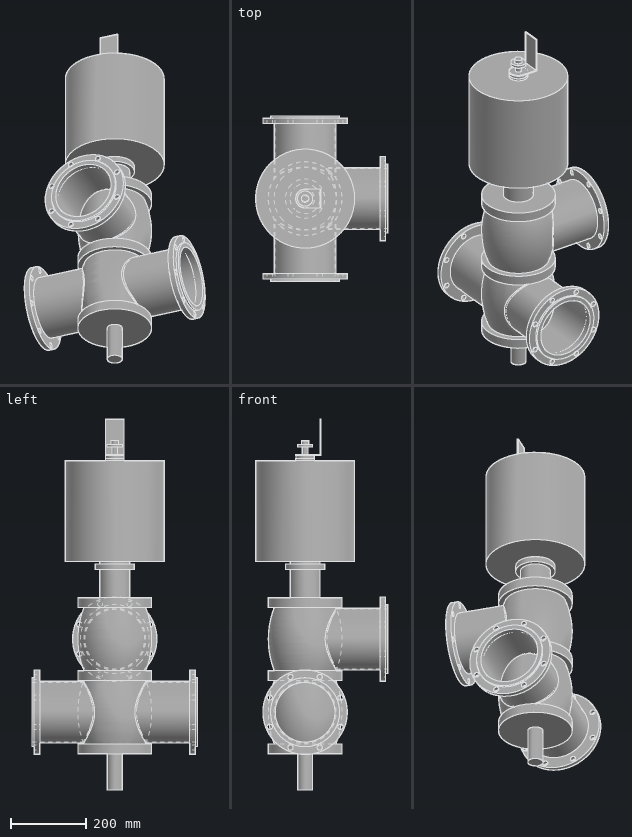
import cadquery as cq
import math

bottom_stem_length = 97.0
bottom_stem_diameter = 40.0
chamber_height = 168.0
chamber_end_diameter = 165.0
chamber_middle_diameter = 196.0
chamber_flange_diameter = 196.0
chamber_flange_thickness = 27.0

port_reach = 220.0
port_pipe_diameter = 165.0
port_bore_diameter = 159.0
port_flange_diameter = 225.0
port_flange_thickness = 15.0
raised_face_diameter = 183.0
raised_face_thickness = 6.0
bolt_count = 8
bolt_hole_diameter = 14.0
bolt_circle_diameter = 203.0

neck_diameter = 80.0
neck_length = 74.0
collar_diameter = 105.0
collar_thickness = 16.0
collar_gap = 6.0
drum_diameter = 263.0
drum_height = 268.0
seat_diameter = 50.0
seat_height = 6.0

total_height = 986.5
foot_diameter = 49.0
foot_thickness = 8.0
plate_width = 50.0
plate_thickness = 3.0
plate_reach = 42.0
spindle_diameter = 16.0
spindle_length = 19.0
tip_diameter = 20.0
tip_length = 10.0
nut_diameter = 40.0
nut_thickness = 8.0

chamber_pitch = chamber_height + chamber_flange_thickness
lower_chamber_base = bottom_stem_length + chamber_flange_thickness
upper_chamber_base = lower_chamber_base + chamber_pitch
neck_base = upper_chamber_base + chamber_pitch
collar_base = neck_base + neck_length
drum_base = collar_base + collar_thickness + collar_gap
seat_base = drum_base + drum_height
indicator_base = seat_base + seat_height
plate_base = indicator_base + foot_thickness
plate_top = plate_base + plate_thickness
nut_base = plate_top + spindle_length
tip_base = nut_base + nut_thickness


def disc(diameter, base, height):
    """Solid cylinder on the Z axis."""
    return cq.Workplane("XY").workplane(offset=base).circle(diameter / 2).extrude(height)


def chamber(base):
    """Barrel of revolution with an arc as its side."""
    end_radius = chamber_end_diameter / 2
    top = base + chamber_height
    middle_point = (chamber_middle_diameter / 2, base + chamber_height / 2)
    return (
        cq.Workplane("XZ")
        .moveTo(0, base)
        .lineTo(end_radius, base)
        .threePointArc(middle_point, (end_radius, top))
        .lineTo(0, top)
        .close()
        .revolve(360, (0, 0, 0), (0, 1, 0))
    )


def port(angle, base):
    """Flanged pipe that leaves the middle of a chamber; angle is counted from +X."""
    direction = cq.Vector(math.cos(angle), math.sin(angle), 0)
    centre = cq.Vector(0, 0, base + chamber_height / 2)
    flange_end = port_reach - raised_face_thickness
    flange_start = flange_end - port_flange_thickness

    def section(start):
        plane = cq.Plane(origin=centre + direction * start, xDir=(0, 0, 1), normal=direction)
        return cq.Workplane(plane)

    pipe = section(0).circle(port_pipe_diameter / 2).extrude(port_reach)
    flange = section(flange_start).circle(port_flange_diameter / 2).extrude(port_flange_thickness)
    raised_face = section(flange_end).circle(raised_face_diameter / 2).extrude(raised_face_thickness)
    bore = section(0).circle(port_bore_diameter / 2).extrude(port_reach)
    bolt_holes = (
        section(flange_start)
        .polarArray(bolt_circle_diameter / 2, 180 / bolt_count, 360, bolt_count)
        .circle(bolt_hole_diameter / 2)
        .extrude(port_flange_thickness)
    )
    return pipe.union(flange).union(raised_face).cut(bore).cut(bolt_holes)


def make_valve():
    """Housing, ports, neck and actuator drum as one solid."""
    valve = disc(bottom_stem_diameter, 0, bottom_stem_length)
    for angle, base in (
        (math.radians(0), upper_chamber_base),
        (math.radians(90), lower_chamber_base),
        (math.radians(-90), lower_chamber_base),
    ):
        valve = valve.union(port(angle, base))
    for base in (lower_chamber_base, upper_chamber_base):
        valve = valve.union(chamber(base))
    for level in range(3):
        flange_base = bottom_stem_length + level * chamber_pitch
        valve = valve.union(disc(chamber_flange_diameter, flange_base, chamber_flange_thickness))
    valve = valve.union(disc(neck_diameter, neck_base, drum_base - neck_base))
    valve = valve.union(disc(collar_diameter, collar_base, collar_thickness))
    valve = valve.union(disc(drum_diameter, drum_base, drum_height))
    return valve.union(disc(seat_diameter, seat_base, seat_height))


def make_indicator():
    """Foot, angled plate, spindle, nut and tip as one solid."""
    foot = disc(foot_diameter, indicator_base, foot_thickness)
    plate_end = disc(plate_width, plate_base, plate_thickness)
    plate = (
        cq.Workplane("XY")
        .workplane(offset=plate_base)
        .rect(plate_reach, plate_width)
        .extrude(plate_thickness)
        .translate((plate_reach / 2, 0, 0))
    )
    upright = (
        cq.Workplane("XY")
        .workplane(offset=plate_base)
        .rect(plate_thickness, plate_width)
        .extrude(total_height - plate_base)
        .translate((plate_reach - plate_thickness / 2, 0, 0))
    )
    spindle = disc(spindle_diameter, plate_top, spindle_length)
    nut = disc(nut_diameter, nut_base, nut_thickness)
    tip = disc(tip_diameter, tip_base, tip_length)
    return foot.union(plate_end).union(plate).union(upright).union(spindle).union(nut).union(tip)


valve = make_valve()
indicator = make_indicator()
result = cq.Compound.makeCompound([valve.val(), indicator.val()])